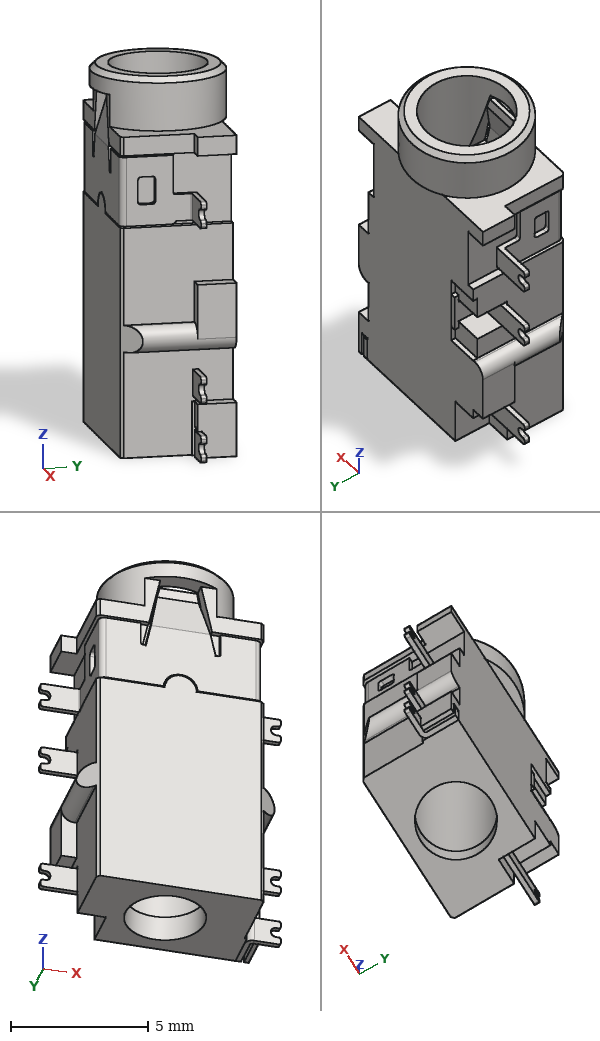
import cadquery as cq


height = 14.0
full_half_width = 3.75
body_half_width = 3.16
half_depth = 2.1
corner_chamfer = 0.7
body_top = 8.6

sheet = 0.21
neck_half_width = 2.85
neck_front = -half_depth + sheet
flange_bottom = 11.3
flange_top = 12.0
rear_block_front = 0.65

collar_radius = 5.0 / 2
collar_chamfer = 0.21
collar_flat_top = 13.19
bore_radius = 1.82
rear_hole_radius = 1.5
bore_floor = 1.0

window_bottom = 10.29
window_bottom_half = 1.41
window_top_half = 0.77
tongue_bottom_half = 1.32
tongue_top_half = 0.7
tongue_bend = 11.19
tongue_crest = 12.7
tongue_top = 13.1
tongue_tip_drop = 0.04
tongue_crest_inner = -1.51
tongue_tip_inner = -1.58

shell_bottom = 8.64
shell_top = 11.21
shell_half_width = neck_half_width + sheet
shell_bend_radius = 0.22
shell_side_end = -0.11
shell_notch_half = 1.51
shell_foot_bottom = 8.75
shell_strip_fillet = 0.1
shell_strip_chamfer = 0.13
shell_foot_bend = 0.04
side_hole_width = 0.66
side_hole_height = 1.04
side_hole_y = -1.1
side_hole_z = 9.94
side_hole_fillet = 0.13
locating_boss_radius = 0.6
locating_gap = 0.04

foot_reach = 9.1 / 2
foot_front = 0.59
foot_back = foot_front + sheet
foot_height = 1.0
foot_notch_radius = 0.2
foot_notch_depth = 0.38
foot_fillet = 0.1

pocket_front = 0.55
middle_pocket_half = 1.83
lower_pocket_half = 2.09
middle_foot_bottom = 5.99
middle_pocket_bottom = 5.95
middle_pocket_top = 7.05
rear_recess_front = 1.9
rear_recess_bottom = 4.95
rear_recess_top = 8.01
plate_bottom = 5.65
plate_top = 7.31
contact_half_width = 1.45
contact_back = 1.12
lower_foot_bottom = 0.95
lower_pocket_top = 2.02
right_foot_bottom = 2.21

ridge_radius = 0.5
ridge_z = 4.47
block_height = 2.02

strip_half_width = 3.25
corner_block_top = 2.02
leg_slot_width = 0.32
leg_slot_top = 1.08
leg_outer_bend = 0.28
leg_inner_bend = leg_outer_bend - sheet


def block(x_start, x_end, y_start, y_end, z_start, z_end):
    """Box given by its limits along X, Y and Z."""
    size = (x_end - x_start, y_end - y_start, z_end - z_start)
    return cq.Workplane("XY").box(*size, centered=False).translate((x_start, y_start, z_start))


def wide_block(half_width, y_start, y_end, z_start, z_end):
    """Box centred on X."""
    return block(-half_width, half_width, y_start, y_end, z_start, z_end)


def front_trapezoid(bottom_half, bottom, top_half, top):
    """Trapezoid in XZ, pushed from in front of the housing back to the plug axis."""
    outline = [(-bottom_half, bottom), (bottom_half, bottom), (top_half, top), (-top_half, top)]
    return cq.Workplane("XZ").polyline(outline).close().extrude(collar_radius)


def front_disc(radius):
    """Disc one sheet thick in the shell's front wall, centred on the top edge of the body."""
    plane = cq.Workplane("XZ", origin=(0, neck_front, 0))
    return plane.center(0, body_top).circle(radius).extrude(sheet)


def half_width_at(z):
    """Half width of the tapered tongue at height z."""
    share = (z - window_bottom) / (tongue_top - window_bottom)
    return tongue_bottom_half + share * (tongue_top_half - tongue_bottom_half)


def foot(inner_x, bottom):
    """Solder foot reaching to +X, with a rounded notch in its end."""
    plate = block(inner_x, foot_reach, foot_front, foot_back, bottom, bottom + foot_height)
    middle = bottom + foot_height / 2
    notch_x = foot_reach - foot_notch_depth + foot_notch_radius
    notch = (
        cq.Workplane("XZ", origin=(0, foot_back, 0))
        .center(notch_x, middle)
        .circle(foot_notch_radius)
        .extrude(sheet)
    )
    mouth = block(
        notch_x, foot_reach, foot_front, foot_back, middle - foot_notch_radius, middle + foot_notch_radius
    )
    return plate.cut(notch).cut(mouth).faces(">X").edges("|Y").fillet(foot_fillet)


def mirrored(shape):
    """Copy on the -X side."""
    return shape.mirror("YZ")


def make_contact():
    """Contact finger that passes through the +X housing wall into the bore."""
    foot_top = middle_foot_bottom + foot_height
    return block(
        contact_half_width, middle_pocket_half, foot_front, contact_back, middle_foot_bottom, foot_top
    )


def make_middle_terminal():
    """Foot, a leg in the side pocket, a rear plate and a contact reaching into the bore."""
    foot_top = middle_foot_bottom + foot_height
    leg_outer = middle_pocket_half + sheet
    leg = block(middle_pocket_half, leg_outer, foot_front, half_depth, middle_foot_bottom, foot_top)
    plate = block(middle_pocket_half, leg_outer, rear_recess_front, half_depth, plate_bottom, plate_top)
    terminal = foot(middle_pocket_half, middle_foot_bottom).union(leg).union(plate).union(make_contact())
    return mirrored(terminal)


def make_bottom_terminal():
    """Foot with a leg bent back along the side of the housing."""
    leg = block(strip_half_width, strip_half_width + sheet, foot_front, half_depth, 0, foot_height)
    bent = foot(strip_half_width, 0).union(leg)
    outer_corner = cq.selectors.NearestToPointSelector((strip_half_width, foot_front, foot_height / 2))
    inner_corner = cq.selectors.NearestToPointSelector(
        (strip_half_width + sheet, foot_back, foot_height / 2)
    )
    bent = bent.edges("|Z").edges(outer_corner).fillet(leg_outer_bend)
    return bent.edges("|Z").edges(inner_corner).fillet(leg_inner_bend)


lower_terminal = mirrored(foot(lower_pocket_half, lower_foot_bottom))
middle_terminal = make_middle_terminal()
right_terminal = foot(lower_pocket_half, right_foot_bottom)
bottom_terminal = make_bottom_terminal()


def make_side_ridge():
    """Half-round ridge across the depth of the +X side."""
    centre_x = full_half_width - ridge_radius
    rod = (
        cq.Workplane("XZ", origin=(0, half_depth, 0))
        .center(centre_x, ridge_z)
        .circle(ridge_radius)
        .extrude(2 * half_depth)
    )
    web = block(
        0, centre_x, -half_depth, half_depth, ridge_z - ridge_radius, ridge_z + ridge_radius
    )
    return rod.union(web)


def make_corner_block():
    """Block at the bottom of the +X side, slotted for the leg of the bottom terminal."""
    strip = block(0, strip_half_width, pocket_front, half_depth, 0, corner_block_top)
    rib = block(0, full_half_width, rear_block_front, half_depth, 0, corner_block_top)
    leg_slot = block(
        strip_half_width, strip_half_width + leg_slot_width, 0, half_depth, 0, leg_slot_top
    )
    return strip.union(rib).cut(leg_slot)


def make_collar():
    """Round collar at the plug opening, flat at the front below its rim."""
    collar = (
        cq.Workplane("XY", origin=(0, 0, flange_top))
        .circle(collar_radius)
        .extrude(height - flange_top)
        .faces(">Z")
        .chamfer(collar_chamfer)
    )
    front_flat = wide_block(collar_radius, -collar_radius, -half_depth, flange_top, collar_flat_top)
    return collar.cut(front_flat)


def make_outer_shape():
    envelope = (
        wide_block(full_half_width, -half_depth, half_depth, 0, height)
        .faces("<Y")
        .edges("|Z")
        .chamfer(corner_chamfer)
    )
    body = wide_block(body_half_width, -half_depth, half_depth, 0, body_top)
    neck = wide_block(neck_half_width, neck_front, half_depth, body_top, flange_bottom)
    flange = wide_block(body_half_width, -half_depth, half_depth, flange_bottom, flange_top)
    flange_rear = wide_block(full_half_width, rear_block_front, half_depth, flange_bottom, flange_top)
    left_block = block(
        -full_half_width, 0, rear_block_front, half_depth, ridge_z - block_height, ridge_z
    )
    right_block = block(
        0, full_half_width, rear_block_front, half_depth, ridge_z, ridge_z + block_height
    )
    ridge = make_side_ridge()
    shape = body.union(neck).union(flange).union(flange_rear)
    shape = shape.union(ridge).union(mirrored(ridge)).union(left_block).union(right_block)
    shape = shape.union(make_corner_block()).union(front_disc(locating_boss_radius))
    return shape.intersect(envelope).union(make_collar())


def side_pocket(half_width, front, bottom, top):
    """Pocket in the -X side, open at the rear."""
    return block(-body_half_width, -half_width, front, half_depth, bottom, top)


def make_side_pockets():
    """Pockets for the middle and lower terminals."""
    middle_pocket = side_pocket(middle_pocket_half, pocket_front, middle_pocket_bottom, middle_pocket_top)
    rear_recess = side_pocket(middle_pocket_half, rear_recess_front, rear_recess_bottom, rear_recess_top)
    lower_pocket = side_pocket(lower_pocket_half, pocket_front, 0, lower_pocket_top)
    return middle_pocket.union(rear_recess).union(lower_pocket)


def make_housing():
    bore = cq.Workplane("XY", origin=(0, 0, bore_floor)).circle(bore_radius).extrude(height)
    rear_hole = cq.Workplane("XY").circle(rear_hole_radius).extrude(height)
    window = front_trapezoid(window_bottom_half, window_bottom, window_top_half, collar_flat_top)
    housing = make_outer_shape().cut(bore).cut(rear_hole).cut(window).cut(make_side_pockets())
    return housing.cut(mirrored(make_contact())).cut(right_terminal).cut(bottom_terminal)


housing = make_housing()


def make_tongue():
    """Tapered spring tongue bent into the bore, its tip turned back outwards."""
    profile = [
        (-half_depth, tongue_bend),
        (tongue_crest_inner - sheet, tongue_crest),
        (tongue_tip_inner - sheet, tongue_top - tongue_tip_drop),
        (tongue_tip_inner, tongue_top),
        (tongue_crest_inner, tongue_crest),
        (neck_front, tongue_bend),
    ]
    strip = cq.Workplane("YZ").polyline(profile).close().extrude(window_bottom_half, both=True)
    taper = front_trapezoid(half_width_at(tongue_bend), tongue_bend, tongue_top_half, tongue_top)
    return strip.intersect(taper)


def make_shell_front():
    """Front wall and side walls, folded around the neck."""
    outer = wide_block(shell_half_width, -half_depth, shell_side_end, shell_bottom, shell_top)
    outer = outer.faces("<Y").edges("|Z").fillet(shell_bend_radius)
    return outer.cut(wide_block(neck_half_width, neck_front, half_depth, 0, height))


def make_tongue_relief():
    """Gap on both sides of the tongue, cut down into the front wall."""
    relief = wide_block(shell_notch_half, -half_depth, neck_front, window_bottom, shell_top)
    relief_width = shell_notch_half - tongue_bottom_half
    relief = relief.faces("<Z").edges("|Y").fillet(relief_width / 2)
    tongue_root = front_trapezoid(
        tongue_bottom_half, window_bottom, half_width_at(tongue_bend), tongue_bend
    )
    return relief.cut(tongue_root)


def make_side_strip():
    """Strip running back along the +X side wall, bent out into a solder foot."""
    foot_top = shell_foot_bottom + foot_height
    outline = [
        (shell_side_end, shell_bottom),
        (shell_side_end + shell_strip_chamfer, shell_foot_bottom),
        (foot_back, shell_foot_bottom),
        (foot_back, foot_top),
        (shell_side_end, foot_top),
    ]
    strip = cq.Workplane("YZ", origin=(neck_half_width, 0, 0)).polyline(outline).close().extrude(sheet)
    inner_corner = cq.selectors.NearestToPointSelector(
        (shell_half_width, foot_front, shell_foot_bottom + foot_height / 2)
    )
    bent = strip.union(foot(neck_half_width, shell_foot_bottom))
    return bent.edges("|Z").edges(inner_corner).fillet(shell_foot_bend)


def make_side_holes():
    """Rounded holes through both side walls."""
    return (
        cq.Workplane("XY")
        .box(2 * full_half_width, side_hole_width, side_hole_height)
        .edges("|X")
        .fillet(side_hole_fillet)
        .translate((0, side_hole_y, side_hole_z))
    )


def make_shell():
    strip = make_side_strip()
    shell = make_shell_front().union(strip).union(mirrored(strip))
    strip_top = shell_foot_bottom + foot_height
    for side in (-1, 1):
        corner = cq.selectors.NearestToPointSelector((side * shell_half_width, shell_side_end, strip_top))
        shell = shell.edges("|X").edges(corner).fillet(shell_strip_fillet)
    shell = shell.cut(make_tongue_relief()).cut(make_side_holes())
    return shell.cut(front_disc(locating_boss_radius + locating_gap)).union(make_tongue())


shell = make_shell()

result = cq.Compound.makeCompound(
    [
        housing.val(),
        shell.val(),
        lower_terminal.val(),
        middle_terminal.val(),
        right_terminal.val(),
        bottom_terminal.val(),
    ]
)